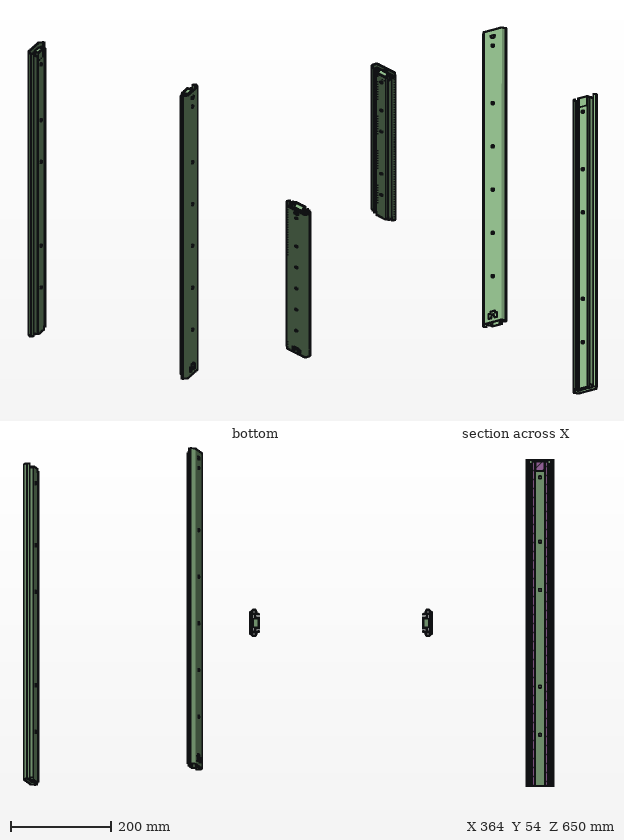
import cadquery as cq


pair_width = 364.0
slide_depth = 19.0
half_width = 54.0 / 2
rail_length = 650.0

sheet = 2.15
half_sheet = sheet / 2

outer_web_half = 19.5
outer_bend_depth = 2.5
outer_bend_half = 21.5
crest_start_depth = 8.0
crest_end_depth = 10.5
outer_lip_depth = 13.0
outer_lip_half = 22.0

middle_web_depth = 4.5
middle_web_half = 17.0
middle_bend_depth = 7.0
middle_flange_half = 19.5
middle_lip_start_depth = 13.0
middle_lip_end_half = 17.0
middle_bottom = 4.0
middle_top = rail_length - 8.0

inner_flange_half = 12.0
inner_foot_depth = 10.5
inner_foot_half = 15.5
inner_top = rail_length - 3.0

plug_back_depth = 7.0
plug_width = 17.5
plug_length = 19.5

hole_diameter = 5.8
hole_pitch = 96.0
top_hole_gap = 128.0
lowest_hole = 102.0
row_hole_count = 5
outer_row = [lowest_hole + i * hole_pitch for i in range(row_hole_count)]
top_hole = outer_row[-1] + top_hole_gap
outer_holes = outer_row + [top_hole]
skipped_index = 2
inner_holes = [height for i, height in enumerate(outer_holes) if i != skipped_index]

moon_width = 10.0
moon_height = 6.0
moon_top = 637.5

latch_bottom = 9.0
latch_shoulder = 19.5
latch_top = 24.0
latch_width = 19.0
latch_arch_width = 10.0
latch_tongue_root_width = 8.0
latch_tongue_tip_width = 4.0
latch_tongue_top = 17.0


def start_half_path(depth, bottom):
    """Start of a rail's sheet mid-line, on the slide's middle plane."""
    return cq.Workplane("XY", origin=(0, 0, bottom)).moveTo(depth, 0)


def folded_rail(half_path, length):
    """Symmetric sheet rail whose mid-line follows half_path on one side and its mirror on the other."""
    half_rail = half_path.offset2D(half_sheet).extrude(length)
    return half_rail.union(half_rail.mirror("XZ"))


def web_plane(depth):
    """Plane on a web, with local X along Y and local Y along Z, facing into the slide."""
    return cq.Workplane("YZ", origin=(depth, 0, 0))


def screw_holes(depth, heights):
    """Cutters for round holes through the sheet that starts at the given depth."""
    centres = [(0, height) for height in heights]
    return web_plane(depth).pushPoints(centres).circle(hole_diameter / 2).extrude(sheet)


def moon_window():
    """Flat-topped window with a round lower edge."""
    half = moon_width / 2
    return (
        web_plane(0)
        .moveTo(-half, moon_top)
        .threePointArc((0, moon_top - moon_height), (half, moon_top))
        .close()
        .extrude(sheet)
    )


def latch_window():
    """Stepped arch around an upright tongue that stays part of the web."""
    half = latch_width / 2
    arch = latch_arch_width / 2
    right_side = [
        (latch_tongue_tip_width / 2, latch_tongue_top),
        (latch_tongue_root_width / 2, latch_bottom),
        (half, latch_bottom),
        (half, latch_shoulder),
        (arch, latch_shoulder),
        (arch, latch_top),
    ]
    left_side = [(-y, z) for y, z in reversed(right_side)]
    return web_plane(0).polyline(right_side + left_side).close().extrude(sheet)


def make_outer_rail():
    crest_half = half_width - half_sheet
    path = (
        start_half_path(half_sheet, 0)
        .lineTo(half_sheet, outer_web_half)
        .tangentArcPoint((outer_bend_depth, outer_bend_half), relative=False)
        .lineTo(crest_start_depth, crest_half)
        .lineTo(crest_end_depth, crest_half)
        .lineTo(outer_lip_depth, outer_lip_half)
    )
    rail = folded_rail(path, rail_length)
    rail = rail.cut(screw_holes(0, outer_holes))
    return rail.cut(moon_window()).cut(latch_window())


def make_intermediate_rail():
    web_depth = middle_web_depth + half_sheet
    flange_half = middle_flange_half - half_sheet
    path = (
        start_half_path(web_depth, middle_bottom)
        .lineTo(web_depth, middle_web_half)
        .lineTo(middle_bend_depth, flange_half)
        .lineTo(middle_lip_start_depth, flange_half)
        .tangentArcPoint((slide_depth - half_sheet, middle_lip_end_half), relative=False)
    )
    return folded_rail(path, middle_top - middle_bottom)


def make_inner_rail():
    web_depth = slide_depth - half_sheet
    flange_half = inner_flange_half - half_sheet
    foot_depth = inner_foot_depth + half_sheet
    path = (
        start_half_path(web_depth, 0)
        .lineTo(web_depth, flange_half)
        .lineTo(foot_depth, flange_half)
        .lineTo(foot_depth, inner_foot_half - half_sheet)
    )
    return folded_rail(path, inner_top).cut(screw_holes(slide_depth - sheet, inner_holes))


def make_end_plug():
    depth = slide_depth - sheet - plug_back_depth
    return (
        cq.Workplane("XY", origin=(plug_back_depth, 0, inner_top - plug_length))
        .box(depth, plug_width, plug_length, centered=(False, True, False))
    )


bodies = []
for make_body in (make_outer_rail, make_intermediate_rail, make_inner_rail, make_end_plug):
    left_body = make_body().translate((-pair_width / 2, 0, 0))
    right_body = left_body.mirror("YZ")
    bodies += [left_body.val(), right_body.val()]

result = cq.Compound.makeCompound(bodies)